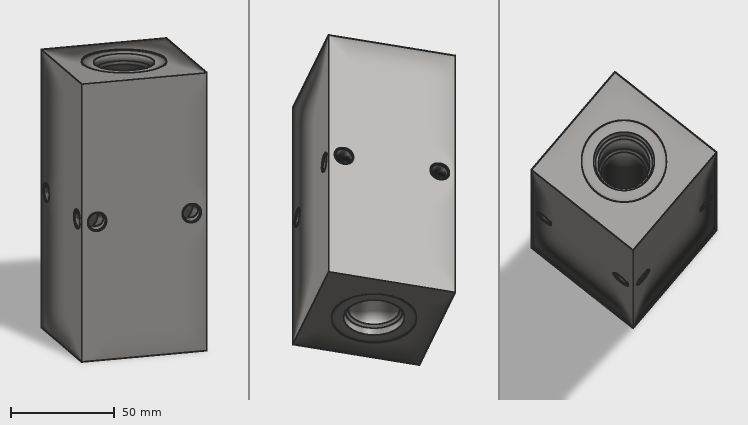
import cadquery as cq

height = 139.7
width = 63.5

spotface_diameter = 41.1
spotface_depth = 0.5
seat_top_diameter = 29.3
seat_bottom_diameter = 27.5
seat_depth = 3.4
thread_diameter = 24.9
lead_in_depth = (seat_bottom_diameter - thread_diameter) / 2
thread_depth = 22.1

bore_diameter = 22.2
bore_cone_depth = (thread_diameter - bore_diameter) / 2

hole_diameter = 8.5
hole_offset = 24.0
hole_mouth_diameter = 9.6
hole_chamfer = (hole_mouth_diameter - hole_diameter) / 2


def through_passage():
    """Revolved cutter for the central bore and the ports at both ends."""
    top = height / 2
    seat_top = top - spotface_depth
    seat_bottom = seat_top - seat_depth
    thread_top = seat_bottom - lead_in_depth
    thread_bottom = seat_top - thread_depth
    bore_top = thread_bottom - bore_cone_depth
    upper_profile = [
        (spotface_diameter / 2, top),
        (spotface_diameter / 2, seat_top),
        (seat_top_diameter / 2, seat_top),
        (seat_bottom_diameter / 2, seat_bottom),
        (thread_diameter / 2, thread_top),
        (thread_diameter / 2, thread_bottom),
        (bore_diameter / 2, bore_top),
    ]
    lower_profile = [(radius, -z) for radius, z in reversed(upper_profile)]
    outline = [(0, top)] + upper_profile + lower_profile + [(0, -top)]
    return cq.Workplane("XZ").polyline(outline).close().revolve(360, (0, 0), (0, 1))


def cross_hole():
    """Cutter along Y, centred on the origin, flared at both block faces."""
    face = width / 2
    outline = [
        (0, face),
        (hole_mouth_diameter / 2, face),
        (hole_diameter / 2, face - hole_chamfer),
        (hole_diameter / 2, hole_chamfer - face),
        (hole_mouth_diameter / 2, -face),
        (0, -face),
    ]
    return cq.Workplane("XY").polyline(outline).close().revolve(360, (0, 0), (0, 1))


result = cq.Workplane("XY").box(width, width, height).cut(through_passage())

for offset in (-hole_offset, hole_offset):
    hole_along_y = cross_hole().translate((offset, 0, 0))
    hole_along_x = hole_along_y.rotate((0, 0, 0), (0, 0, 1), 90)
    result = result.cut(hole_along_y).cut(hole_along_x)